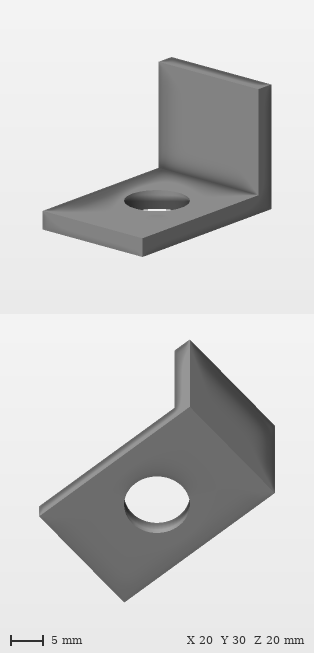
import cadquery as cq

width = 20.0
base_length = 30.0
height = 20.0
thickness = 3.0
hole_diameter = 10.0


def angle_body():
    """L-shaped bracket: a flat base with an upright wall along its +Y edge."""
    base = cq.Workplane("XY").box(width, base_length, thickness, centered=(True, True, False))
    wall_center_y = (base_length - thickness) / 2
    wall = (
        cq.Workplane("XY")
        .center(0, wall_center_y)
        .box(width, thickness, height, centered=(True, True, False))
    )
    return base.union(wall)


def base_hole():
    """Cylinder for the through hole at the center of the base."""
    return cq.Workplane("XY").circle(hole_diameter / 2).extrude(thickness)


result = angle_body().cut(base_hole())